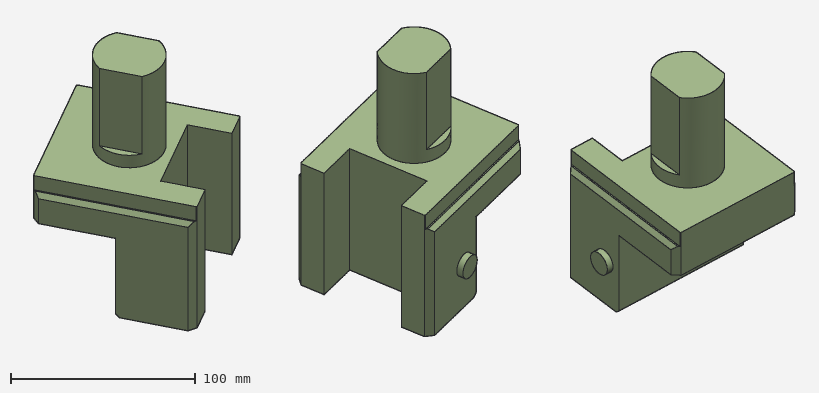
import cadquery as cq

block_length = 92.5
block_width = 87.9
shank_to_left = 42.0
leg_length = 45.0
leg_height = 55.0
plate_thickness = 30.0
corner_chamfer = 4.0
leg_chamfer = 2.2

relief_depth = 3.5
relief_height = 9.9
relief_chamfer = 2.7

slot_depth = 25.2
slot_width = 50.0

total_height = 148
shank_diameter = 40
flat_spacing = 32.0
collar_height = 8.7

pin_diameter = 14.0
pin_length = 4.0
pin_x = 17.6
pin_z = 30.0

left_x = -shank_to_left
right_x = left_x + block_length
leg_x = right_x - leg_length
half_width = block_width / 2
plate_top = leg_height + plate_thickness


def make_block():
    """L-shaped side outline with chamfered corners and relieved upper sides."""
    side_outline = (
        cq.Workplane("XZ")
        .moveTo(left_x, plate_top)
        .lineTo(right_x, plate_top)
        .lineTo(right_x, 0)
        .lineTo(leg_x + leg_chamfer, 0)
        .lineTo(leg_x, leg_chamfer)
        .lineTo(leg_x, leg_height)
        .lineTo(left_x, leg_height)
        .close()
        .extrude(half_width, both=True)
    )
    block = side_outline.edges("|Z and (<X or >X)").chamfer(corner_chamfer)
    return block.intersect(make_end_profile())


def make_end_profile():
    """Full-length bar whose section narrows near the plate top."""
    narrow_half = half_width - relief_depth
    relief_z = plate_top - relief_height
    ledge_half = half_width - relief_chamfer
    chamfer_z = relief_z - relief_chamfer
    return (
        cq.Workplane("YZ", origin=(left_x, 0, 0))
        .moveTo(-half_width, 0)
        .lineTo(half_width, 0)
        .lineTo(half_width, chamfer_z)
        .lineTo(ledge_half, relief_z)
        .lineTo(narrow_half, relief_z)
        .lineTo(narrow_half, plate_top)
        .lineTo(-narrow_half, plate_top)
        .lineTo(-narrow_half, relief_z)
        .lineTo(-ledge_half, relief_z)
        .lineTo(-half_width, chamfer_z)
        .close()
        .extrude(block_length)
    )


def make_slot():
    """Cutter for the slot that runs through the full height of the block."""
    return (
        cq.Workplane("XY", origin=(right_x - slot_depth / 2, 0, 0))
        .rect(slot_depth, slot_width)
        .extrude(plate_top)
    )


def make_shank():
    """Round collar below a shank with flats on its -Y and +Y sides."""
    collar_top = plate_top + collar_height
    collar = cq.Workplane("XY", origin=(0, 0, plate_top)).circle(shank_diameter / 2).extrude(collar_height)
    flat_height = total_height - collar_top
    upper = cq.Workplane("XY", origin=(0, 0, collar_top)).circle(shank_diameter / 2).extrude(flat_height)
    flats = cq.Workplane("XY", origin=(0, 0, collar_top)).rect(shank_diameter, flat_spacing).extrude(flat_height)
    return collar.union(upper.intersect(flats))


def make_holder():
    """Block and shank in one piece."""
    return make_block().cut(make_slot()).union(make_shank())


def make_pin():
    """Short round pin that rests on the +Y face of the leg."""
    return (
        cq.Workplane("XZ", origin=(pin_x, half_width, pin_z))
        .circle(pin_diameter / 2)
        .extrude(-pin_length)
    )


holder = make_holder()
pin = make_pin()
result = cq.Compound.makeCompound([holder.val(), pin.val()])